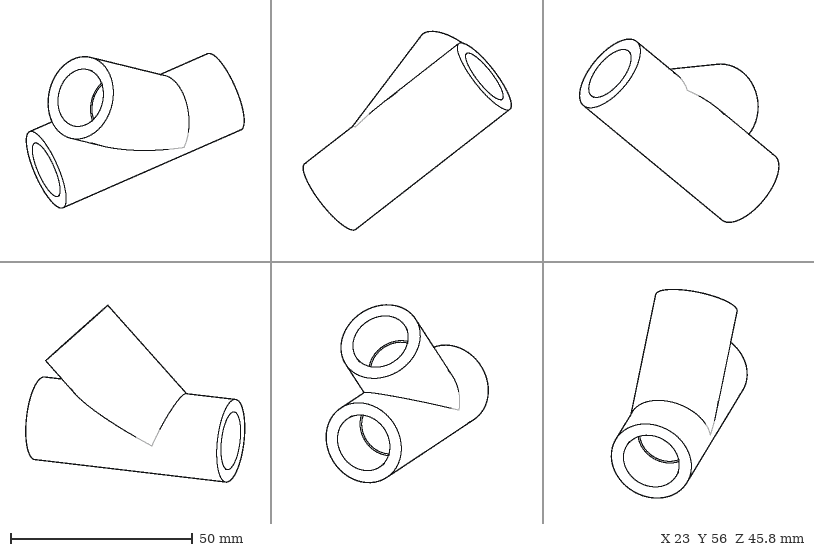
import cadquery as cq
import math

run_length = 56.0
outer_diameter = 23.0
socket_diameter = 16.0
bore_diameter = 15.0
socket_depth = 14.5
branch_length = 37.0
junction_inset = 19.0
branch_angle = math.radians(45)

run_start = cq.Vector(0, -run_length / 2, 0)
run_end = cq.Vector(0, run_length / 2, 0)
run_direction = cq.Vector(0, 1, 0)
junction = cq.Vector(0, run_length / 2 - junction_inset, 0)
branch_direction = cq.Vector(0, -math.cos(branch_angle), math.sin(branch_angle))
branch_mouth = junction + branch_direction * branch_length


def cylinder(diameter, length, start, direction):
    """Solid cylinder whose base is centred at start."""
    return cq.Workplane(cq.Solid.makeCylinder(diameter / 2, length, start, direction))


body = cylinder(outer_diameter, run_length, run_start, run_direction)
branch = cylinder(outer_diameter, branch_length, junction, branch_direction)
body = body.union(branch)

body = body.cut(cylinder(bore_diameter, run_length, run_start, run_direction))
body = body.cut(cylinder(bore_diameter, branch_length, junction, branch_direction))

openings = [
    (run_start, run_direction),
    (run_end, -run_direction),
    (branch_mouth, -branch_direction),
]
for mouth, inward in openings:
    body = body.cut(cylinder(socket_diameter, socket_depth, mouth, inward))

result = body